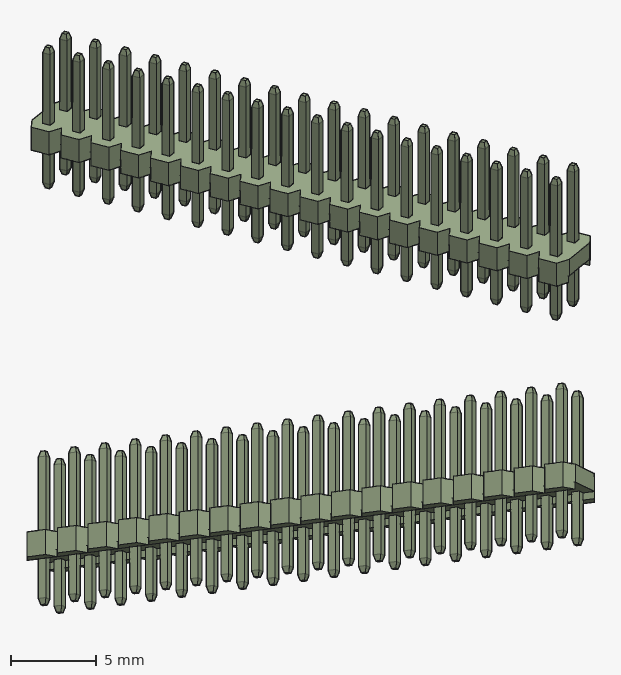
import cadquery as cq

pin_columns = 18
pin_rows = 2
bar_length = 36.0
pitch = bar_length / pin_columns
bar_width = pin_rows * pitch

bar_height = 1.5
notch_depth = 0.8
notch_half_width = 0.4
channel_width = 2.5
channel_depth = 0.45

pin_side = 0.5
pin_length = 9.25
pin_below_bar = 2.75
tip_height = 0.35
tip_side = 0.3


def centred_positions(count):
    """Evenly pitched coordinates, symmetric about zero."""
    return [(i - (count - 1) / 2) * pitch for i in range(count)]


def make_bar():
    """Bar with a V notch between neighbouring columns and half notches at its corners."""
    bar = cq.Workplane("XY").box(bar_length, bar_width, bar_height, centered=(True, True, False))
    notch_tip_y = bar_width / 2 - notch_depth
    for side in (1, -1):
        notches = cq.Workplane("XY")
        for x in centred_positions(pin_columns + 1):
            notches = notches.polyline(
                [
                    (x - notch_half_width, side * bar_width / 2),
                    (x, side * notch_tip_y),
                    (x + notch_half_width, side * bar_width / 2),
                ]
            ).close()
        bar = bar.cut(notches.extrude(bar_height))
    return bar


def make_channel():
    """Tool for the lengthwise channel along the underside of the bar."""
    return cq.Workplane("XY").box(bar_length, channel_width, channel_depth, centered=(True, True, False))


def make_pin():
    """Square pin standing on the Z axis, tapered at both ends."""
    tip_inset = (pin_side - tip_side) / 2
    pin = cq.Workplane("XY").box(pin_side, pin_side, pin_length, centered=(True, True, False))
    pin = pin.faces("<Z or >Z").chamfer(tip_height, tip_inset)
    return pin.translate((0, 0, -pin_below_bar))


result = make_bar().cut(make_channel())
pin_centres = [(x, y, 0) for x in centred_positions(pin_columns) for y in centred_positions(pin_rows)]
single_pin = make_pin()
for centre in pin_centres:
    result = result.union(single_pin.translate(centre))